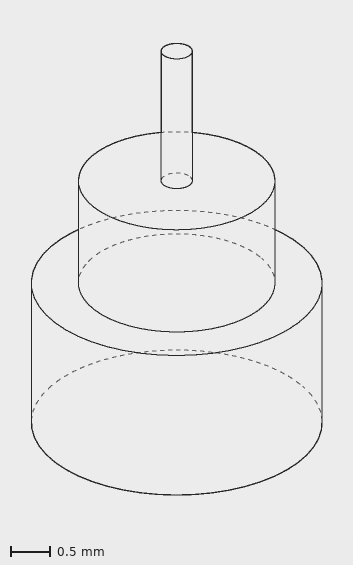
import cadquery as cq

total_height = 5.45
base_diameter = 3.7
base_height = 2.05
neck_diameter = 2.5
neck_height = 1.5
pin_diameter = 0.4
pin_height = total_height - base_height - neck_height


def cylinder(diameter, height, bottom):
    """Upright cylinder on the Z axis, starting at the given height."""
    return cq.Workplane("XY").workplane(offset=bottom).circle(diameter / 2).extrude(height)


neck_top = base_height + neck_height
base = cylinder(base_diameter, base_height, 0)
neck = cylinder(neck_diameter, neck_height, base_height)
pin = cylinder(pin_diameter, pin_height, neck_top)

result = base.union(neck).union(pin)